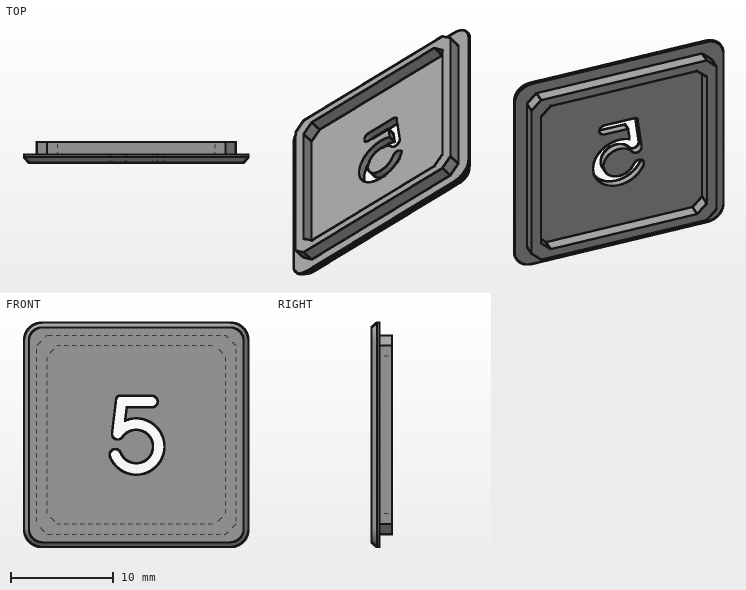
import cadquery as cq
import math

side = 21.85
depth = 2.03
corner_radius = 1.8
plate_thickness = 0.8
bevel_depth = 0.55
bevel_inset = 0.48

frame_inset = 1.25
frame_side = side - 2 * frame_inset
frame_height = depth - plate_thickness
frame_corner_cut = 1.0
frame_wall = 1.0

stroke = 1.1
half_stroke = stroke / 2
bowl_x = 0.0
bowl_z = -1.14
bowl_radius = 2.18
bowl_start_angle = 145.6
bowl_end_angle = 201.5
bar_z = 3.23
bar_end_x = 1.53
stem_top_x = -1.42
heel_fillet = 0.3


def xz_plane(y):
    """Sketch plane at the given Y; negative extrusions run toward +Y."""
    return cq.Workplane("XZ", origin=(0, y, 0))


def bowl_point(radius, angle):
    """Point at a polar position about the centre of the numeral's bowl."""
    turn = math.radians(angle)
    return (bowl_x + radius * math.cos(turn), bowl_z + radius * math.sin(turn))


def make_plate():
    plate = xz_plane(0).rect(side, side).extrude(-plate_thickness)
    plate = plate.edges("|Y").fillet(corner_radius)
    return plate.faces("<Y").chamfer(bevel_depth, bevel_inset)


def make_frame():
    outer = xz_plane(plate_thickness).rect(frame_side, frame_side).extrude(-frame_height)
    outer = outer.edges("|Y").chamfer(frame_corner_cut)
    opening_side = frame_side - 2 * frame_wall
    opening = xz_plane(plate_thickness).rect(opening_side, opening_side).extrude(-frame_height)
    opening = opening.edges("|Y").chamfer(frame_corner_cut)
    return outer.cut(opening)


def make_bowl():
    """Open ring of the numeral, with a round tail at its lower end."""
    inner = bowl_radius - half_stroke
    outer = bowl_radius + half_stroke
    far_angle = (bowl_start_angle + bowl_end_angle - 360) / 2
    ring = (
        xz_plane(0)
        .moveTo(*bowl_point(outer, bowl_start_angle))
        .threePointArc(bowl_point(outer, far_angle), bowl_point(outer, bowl_end_angle))
        .lineTo(*bowl_point(inner, bowl_end_angle))
        .threePointArc(bowl_point(inner, far_angle), bowl_point(inner, bowl_start_angle))
        .close()
        .extrude(-plate_thickness)
    )
    tail_centre = bowl_point(bowl_radius, bowl_end_angle)
    tail = xz_plane(0).center(*tail_centre).circle(half_stroke).extrude(-plate_thickness)
    return ring.union(tail)


def make_stem_and_bar():
    """Leaning stem and horizontal top bar, both with round free ends."""
    foot_x, foot_z = bowl_point(bowl_radius, bowl_start_angle)
    rise = bar_z - foot_z
    lean = math.atan2(stem_top_x - foot_x, rise)
    across_x = half_stroke * math.cos(lean)
    across_z = half_stroke * math.sin(lean)
    half_width_level = half_stroke / math.cos(lean)
    shift = half_stroke * math.tan(lean)
    bar_top = bar_z + half_stroke
    bar_bottom = bar_z - half_stroke
    heel = (stem_top_x - half_width_level + shift, bar_top)
    inside_corner = (stem_top_x + half_width_level - shift, bar_bottom)
    foot_left = (foot_x - across_x, foot_z + across_z)
    foot_right = (foot_x + across_x, foot_z - across_z)
    foot_bottom = (foot_x - across_z, foot_z - across_x)

    strokes = (
        xz_plane(0)
        .moveTo(*foot_left)
        .lineTo(*heel)
        .lineTo(bar_end_x, bar_top)
        .threePointArc((bar_end_x + half_stroke, bar_z), (bar_end_x, bar_bottom))
        .lineTo(*inside_corner)
        .lineTo(*foot_right)
        .threePointArc(foot_bottom, foot_left)
        .close()
        .extrude(-plate_thickness)
    )
    heel_edge = cq.selectors.NearestToPointSelector((heel[0], plate_thickness / 2, heel[1]))
    return strokes.edges("|Y").edges(heel_edge).fillet(heel_fillet)


numeral = make_bowl().union(make_stem_and_bar())
result = make_plate().union(make_frame()).cut(numeral)